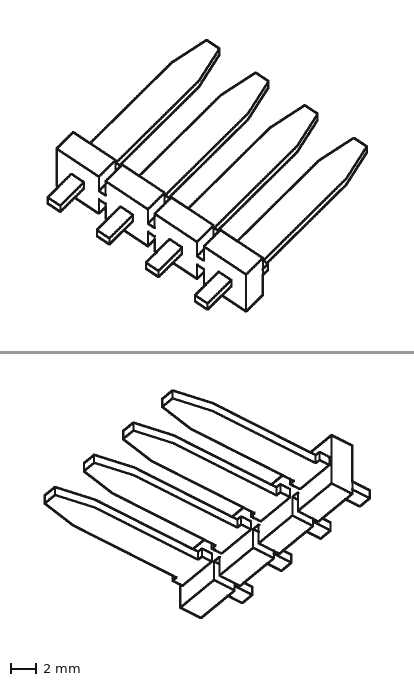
import cadquery as cq

pin_count = 4
pitch = 5.08

body_length = 19.6
body_height = 5.05
body_depth = 2.1
block_width = body_length - (pin_count - 1) * pitch
web_height = 1.16

overall_length = 20.05
pin_thickness = 0.85
tail_length = 2.99
tail_width = 1.3
shoulder_width = 3.81
shoulder_length = 1.0
blade_width = 2.83
tip_width = 1.35
taper_length = 3.5

tail_end = -overall_length / 2
body_front = tail_end + tail_length
body_back = body_front + body_depth
shoulder_end = body_back + shoulder_length
tip_end = overall_length / 2
taper_start = tip_end - taper_length

pin_positions = [(i - (pin_count - 1) / 2) * pitch for i in range(pin_count)]


def body_box(width, height):
    """Box spanning the body depth, centred on X and Z."""
    return (
        cq.Workplane("XY")
        .box(width, body_depth, height, centered=(True, False, True))
        .translate((0, body_front, 0))
    )


def make_pin():
    """Pin with a narrow tail, a shoulder against the body and a tapered blade."""
    right_side = [
        (tail_width / 2, tail_end),
        (tail_width / 2, body_front),
        (shoulder_width / 2, body_front),
        (shoulder_width / 2, shoulder_end),
        (blade_width / 2, shoulder_end),
        (blade_width / 2, taper_start),
        (tip_width / 2, tip_end),
    ]
    left_side = [(-x, y) for x, y in reversed(right_side)]
    return (
        cq.Workplane("XY")
        .polyline(right_side + left_side)
        .close()
        .extrude(pin_thickness / 2, both=True)
    )


result = body_box(body_length - block_width, web_height)
block = body_box(block_width, body_height)
pin = make_pin()
for x in pin_positions:
    result = result.union(block.translate((x, 0, 0)))
    result = result.union(pin.translate((x, 0, 0)))